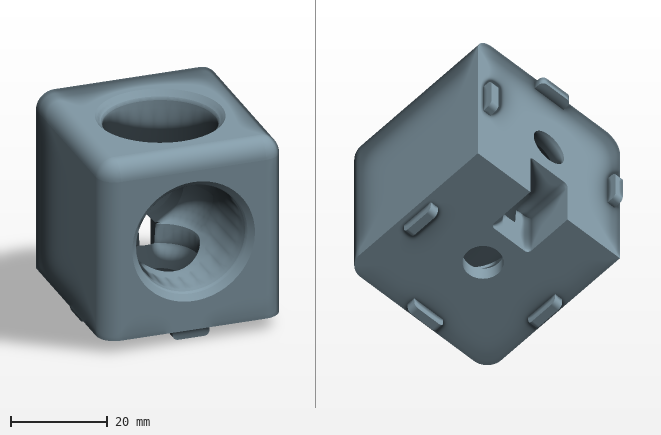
import cadquery as cq
import math


SIZE = 40.0
CENTER = SIZE / 2
EDGE_RADIUS = 4.0

BALL_RADIUS = 11.65
BORE_MOUTH_RADIUS = 12.0
MOUTH_CHAMFER_RADIUS = 13.5
MOUTH_CHAMFER_DEPTH = 1.5
MOUTH_BLEND_RADIUS = 1.0

SCREW_HOLE_RADIUS = 8.5 / 2
SEAT_RADIUS = 8.16
SEAT_MOUTH_RADIUS = 8.22
SEAT_HEIGHT = 7.4
CONE_DEPTH = SEAT_RADIUS - SCREW_HOLE_RADIUS

NOTCH_WIDTH = 10.5
NOTCH_DEPTH = 12.0
NOTCH_RADIUS = 1.0

TAB_HEIGHT = 2.5
TAB_THICKNESS = 2.0
TAB_BASE_LENGTH = 8.2
TAB_TIP_LENGTH = 8.0
TAB_TIP_RADIUS = 1.2
TAB_INSET = 2.5
TAB_EMBED = 0.5


def swap_x_and_z(shape):
    """Return the twin of a Y-symmetric shape, with its X and Z swapped."""
    half_turn_axis_end = (1, 0, 1)
    return shape.rotate((0, 0, 0), half_turn_axis_end, 180)


def make_body():
    block = cq.Workplane("XY").box(SIZE, SIZE, SIZE, centered=(False, True, False))
    return block.edges("(>Z and (not <X)) or (>X and |Z)").fillet(EDGE_RADIUS)


def make_vertical_passage():
    """Screw hole, seat and bore as one turned profile, from the -Z face up to the +Z face."""
    chamfer_start = SIZE - MOUTH_CHAMFER_DEPTH
    seat_top = CENTER - math.sqrt(BALL_RADIUS**2 - SEAT_MOUTH_RADIUS**2)
    arc_angle = (math.asin(SEAT_MOUTH_RADIUS / BALL_RADIUS) + math.pi / 2) / 2
    arc_middle = (BALL_RADIUS * math.sin(arc_angle), CENTER - BALL_RADIUS * math.cos(arc_angle))
    profile = (
        cq.Workplane("XZ")
        .moveTo(0, 0)
        .lineTo(SCREW_HOLE_RADIUS, 0)
        .lineTo(SCREW_HOLE_RADIUS, SEAT_HEIGHT - CONE_DEPTH)
        .lineTo(SEAT_RADIUS, SEAT_HEIGHT)
        .lineTo(SEAT_MOUTH_RADIUS, seat_top)
        .threePointArc(arc_middle, (BALL_RADIUS, CENTER))
        .lineTo(BORE_MOUTH_RADIUS, chamfer_start)
        .lineTo(MOUTH_CHAMFER_RADIUS, SIZE)
        .lineTo(0, SIZE)
        .close()
    )
    passage = profile.revolve(360, (0, 0), (0, 1))
    passage = passage.edges("%CIRCLE").edges(">>Z[-2]").fillet(MOUTH_BLEND_RADIUS)
    return passage.translate((CENTER, 0, 0))


def make_notch():
    notch = cq.Workplane("XY").box(NOTCH_DEPTH, NOTCH_WIDTH, NOTCH_DEPTH, centered=(False, True, False))
    return notch.edges("(>X and |Z) or (>Z and |X)").fillet(NOTCH_RADIUS)


def make_tab():
    """Tab pointing down from Z = 0, long in X, centred on the origin."""
    half_base = TAB_BASE_LENGTH / 2
    half_tip = TAB_TIP_LENGTH / 2
    outline = [
        (-half_base, TAB_EMBED),
        (-half_base, 0),
        (-half_tip, -TAB_HEIGHT),
        (half_tip, -TAB_HEIGHT),
        (half_base, 0),
        (half_base, TAB_EMBED),
    ]
    tab = cq.Workplane("XZ").polyline(outline).close().extrude(TAB_THICKNESS / 2, both=True)
    return tab.edges("<Z and |Y").fillet(TAB_TIP_RADIUS)


def make_bottom_tabs():
    """Three tabs on the -Z face: one near each side and one near the +X edge."""
    tab = make_tab()
    side_offset = CENTER - TAB_INSET
    tabs = tab.rotate((0, 0, 0), (0, 0, 1), 90).translate((SIZE - TAB_INSET, 0, 0))
    for y in (-side_offset, side_offset):
        tabs = tabs.add(tab.translate((CENTER, y, 0)))
    return tabs.combine()


passage = make_vertical_passage()
tabs = make_bottom_tabs()

result = make_body().cut(passage).cut(swap_x_and_z(passage)).cut(make_notch())
result = result.union(tabs).union(swap_x_and_z(tabs))